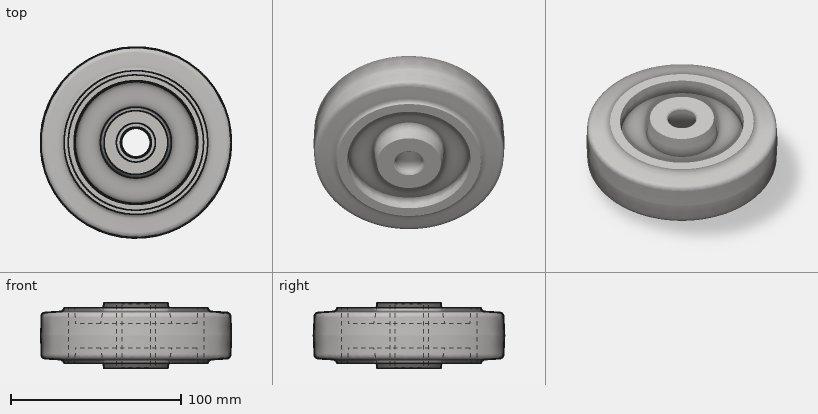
import cadquery as cq


tread_radius = 56.1
tread_edge_radius = 55.5
tread_edge_height = 13.5
shoulder_fillet = 2.7
selection_margin = 0.2
collar_foot_radius = 44.5
collar_foot_height = 14.1
collar_radius = 42.2
rim_height = 16.4

hub_radius = 39.7
pocket_mouth_radius = 36.3
pocket_floor_radius = 35.7
web_half_thickness = 7.2
boss_base_radius = 20.9
boss_tip_radius = 18.7
half_width = 19.3

bushing_radius = 11.4
bore_radius = 8.4
bore_chamfer = 0.7


def revolve_mirrored(upper_profile):
    """Revolve an upper-half (radius, z) profile and add its mirror image as one solid."""
    upper = upper_profile.close().revolve(360, (0, 0, 0), (0, 1, 0))
    return upper.union(upper.mirror("XY"))


def make_tyre():
    upper = (
        cq.Workplane("XZ")
        .moveTo(hub_radius, 0)
        .lineTo(tread_radius, 0)
        .lineTo(tread_edge_radius, tread_edge_height)
        .lineTo(collar_foot_radius, collar_foot_height)
        .tangentArcPoint((collar_radius, rim_height), relative=False)
        .lineTo(hub_radius, rim_height)
    )
    tyre = revolve_mirrored(upper)
    reach = tread_radius + shoulder_fillet
    for side in (-1, 1):
        z = side * tread_edge_height
        shoulder = cq.selectors.BoxSelector(
            (-reach, -reach, z - selection_margin), (reach, reach, z + selection_margin), boundingbox=True
        )
        tyre = tyre.edges(shoulder).fillet(shoulder_fillet)
    return tyre


def make_hub():
    upper = (
        cq.Workplane("XZ")
        .moveTo(bushing_radius, 0)
        .lineTo(hub_radius, 0)
        .lineTo(hub_radius, rim_height)
        .lineTo(pocket_mouth_radius, rim_height)
        .lineTo(pocket_floor_radius, web_half_thickness)
        .lineTo(boss_base_radius, web_half_thickness)
        .lineTo(boss_tip_radius, half_width)
        .lineTo(bushing_radius, half_width)
    )
    return revolve_mirrored(upper)


def make_bushing():
    upper = (
        cq.Workplane("XZ")
        .moveTo(bore_radius, 0)
        .lineTo(bushing_radius, 0)
        .lineTo(bushing_radius, half_width)
        .lineTo(bore_radius + bore_chamfer, half_width)
        .lineTo(bore_radius, half_width - bore_chamfer)
    )
    return revolve_mirrored(upper)


tyre = make_tyre()
hub = make_hub()
bushing = make_bushing()

result = cq.Compound.makeCompound([tyre.val(), hub.val(), bushing.val()])